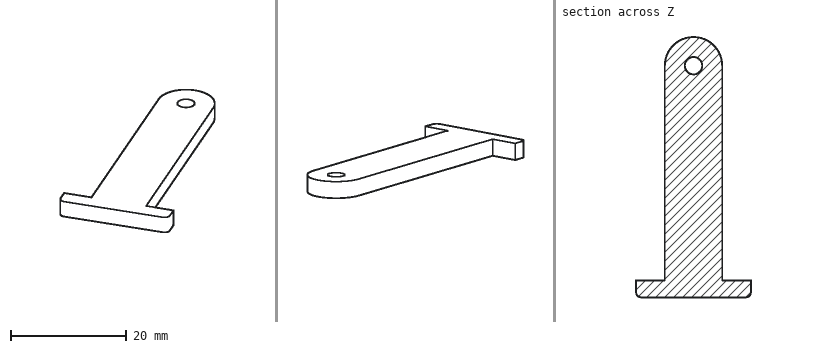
import cadquery as cq

total_length = 45.25
head_width = 20.0
thickness = 3.0
head_depth = 3.0
hole_diameter = 3.0
corner_radius = 1.0

stem_width = head_width / 2
tip_radius = stem_width / 2
tip_center_y = total_length - tip_radius


def make_head():
    """Crossbar along X, with its two outer corners rounded."""
    bar = cq.Workplane("XY").box(head_width, head_depth, thickness, centered=(True, False, False))
    return bar.edges("|Z and <Y").fillet(corner_radius)


def make_stem():
    """Straight arm along Y with a rounded tip."""
    return (
        cq.Workplane("XY")
        .moveTo(-tip_radius, 0)
        .lineTo(tip_radius, 0)
        .lineTo(tip_radius, tip_center_y)
        .threePointArc((0, total_length), (-tip_radius, tip_center_y))
        .close()
        .extrude(thickness)
    )


def make_tip_hole():
    """Through hole concentric with the rounded tip."""
    return cq.Workplane("XY").center(0, tip_center_y).circle(hole_diameter / 2).extrude(thickness)


result = make_head().union(make_stem()).cut(make_tip_hole()).clean()